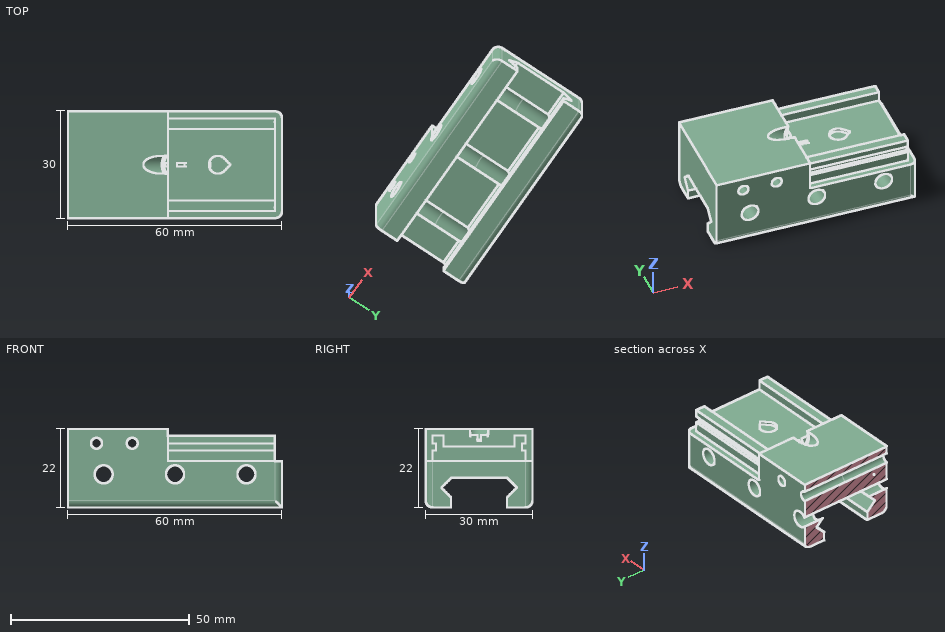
import cadquery as cq
import math

length = 60.0
width = 30.0
height = 22.0
corner_radius = 2.0
overshoot = 1.0

step_x = 28.0
rail_end_x = 58.0
shoulder_z = 13.0
rail_top_z = 20.15
rail_width = 26.0
channel_width = 20.0
channel_depth = 3.0
channel_floor_z = rail_top_z - channel_depth

groove_bottom_z = 16.0
groove_top_z = 18.0
groove_depth = 1.0

slot_mouth_half = 7.8
slot_flank = 2.75
slot_lip_z = 2.8

bolt_diameter = 5.0
bolt_z = 9.3
bolt_xs = (10.0, 30.0, 50.0)
pin_diameter = 3.0
pin_z = 18.0
pin_xs = (8.0, 18.0)

lamp_diameter = 5.0
lamp_dip = 30.0
lamp_tip_x = 21.1
lamp_length = 6.8
lamp_rim_length = 0.8
lamp_rim_step = 0.1

wire_size = 1.0
wire_offset = 1.05
wire_length = 12.0
slit_height = 2.0
slit_length = 1.2

teardrop_x = 42.0
teardrop_radius = 2.5
teardrop_depth = 1.0
notch_length = 0.45


def centred_box(x0, x1, full_width, z0, z1):
    """Axis-aligned box centred on the Y = 0 plane."""
    block = cq.Workplane("XY").box(x1 - x0, full_width, z1 - z0, centered=(False, True, False))
    return block.translate((x0, 0, z0))


def rounded_envelope():
    """Block with round lower long edges meeting a round-cornered +X end at a mitre."""
    bar = centred_box(0, length, width, 0, height).edges("|X and <Z").fillet(corner_radius)
    plan = centred_box(0, length, width, 0, height).edges("|Z and >X").fillet(corner_radius)
    return bar.intersect(plan)


def stepped_top(body):
    """Cut the block down to the shoulder behind the step and stand the rail on it."""
    above_shoulder = centred_box(step_x, length, width, shoulder_z, height)
    rail = centred_box(step_x, rail_end_x, rail_width, shoulder_z, rail_top_z)
    channel = centred_box(step_x, rail_end_x, channel_width, channel_floor_z, rail_top_z)
    rail = rail.cut(channel)
    for side in (-1, 1):
        groove_centre = side * (rail_width / 2 - groove_depth / 2)
        groove = centred_box(step_x, rail_end_x, groove_depth, groove_bottom_z, groove_top_z)
        rail = rail.cut(groove.translate((0, groove_centre, 0)))
    return body.cut(above_shoulder).union(rail)


def clamp_slot():
    """Underside slot with V flanks, through the whole length."""
    tip_half = slot_mouth_half + slot_flank
    tip_z = slot_lip_z + slot_flank
    roof_z = tip_z + slot_flank
    right_side = [
        (slot_mouth_half, 0),
        (slot_mouth_half, slot_lip_z),
        (tip_half, tip_z),
        (slot_mouth_half, roof_z),
    ]
    left_side = [(-y, z) for y, z in reversed(right_side)]
    return cq.Workplane("YZ").polyline(right_side + left_side).close().extrude(length)


def cross_holes(diameter, xs, z):
    """Round holes along Y through the full width."""
    points = [(x, z) for x in xs]
    plane = cq.Workplane("XZ").pushPoints(points)
    return plane.circle(diameter / 2).extrude(width / 2 + overshoot, both=True)


def dip_plane(distance, offset):
    """Plane square to the dip: distance along the trough bottom, offset above it; local Y is up."""
    angle = math.radians(lamp_dip)
    along = cq.Vector(math.cos(angle), 0, -math.sin(angle))
    upward = cq.Vector(math.sin(angle), 0, math.cos(angle))
    origin = cq.Vector(lamp_tip_x, 0, height) + along * distance + upward * offset
    return cq.Workplane(cq.Plane(origin=origin, xDir=(0, -1, 0), normal=along * -1))


def trough(end_distance, run, radius):
    """U-section cutter running back up the dip from its square end, open above."""
    plane = dip_plane(end_distance, lamp_diameter / 2)
    rise = 2 * lamp_diameter
    bottom = plane.circle(radius).extrude(run)
    opening = plane.center(0, rise / 2).rect(2 * radius, rise).extrude(run)
    return bottom.union(opening)


def lamp_pocket():
    """Trough for the lamp with a slightly larger rim seat at its end wall."""
    radius = lamp_diameter / 2
    barrel_run = lamp_length + 2 * lamp_diameter
    pocket = trough(lamp_length, barrel_run, radius)
    rim = trough(lamp_length, lamp_rim_length, radius + lamp_rim_step)
    pocket = pocket.union(rim)
    return pocket.intersect(centred_box(0, step_x, width, shoulder_z, height))


def wire_channel():
    """Square channel along the dip, through the end wall and into the rail channel floor."""
    plane = dip_plane(lamp_length + wire_length, wire_offset)
    return plane.rect(wire_size, wire_size).extrude(wire_length)


def wall_slit():
    """Slit that opens the wire channel through the top of the pocket end wall."""
    centre_offset = wire_offset - wire_size / 2 + slit_height / 2
    plane = dip_plane(lamp_length + slit_length, centre_offset)
    return plane.rect(wire_size, slit_height).extrude(slit_length)


def teardrop_recess():
    """Teardrop pocket pointing to +X, plus the wedge-shaped wire notch in its floor."""
    reach = teardrop_radius * math.sqrt(2)
    tangent = teardrop_radius / math.sqrt(2)
    floor_z = channel_floor_z - teardrop_depth
    recess = (
        cq.Workplane("XY", origin=(teardrop_x, 0, floor_z))
        .moveTo(tangent, tangent)
        .threePointArc((-teardrop_radius, 0), (tangent, -tangent))
        .lineTo(reach, 0)
        .close()
        .extrude(teardrop_depth)
    )
    notch_x = teardrop_x - teardrop_radius
    notch_depth = notch_length / math.tan(math.radians(lamp_dip))
    notch = (
        cq.Workplane("XZ", origin=(notch_x, 0, floor_z))
        .polyline([(0, 0), (notch_length, 0), (0, -notch_depth)])
        .close()
        .extrude(wire_size / 2, both=True)
    )
    return recess.union(notch)


result = stepped_top(rounded_envelope())
result = result.cut(clamp_slot())
result = result.cut(cross_holes(bolt_diameter, bolt_xs, bolt_z))
result = result.cut(cross_holes(pin_diameter, pin_xs, pin_z))
result = result.cut(lamp_pocket())
result = result.cut(wire_channel())
result = result.cut(wall_slit())
result = result.cut(teardrop_recess())